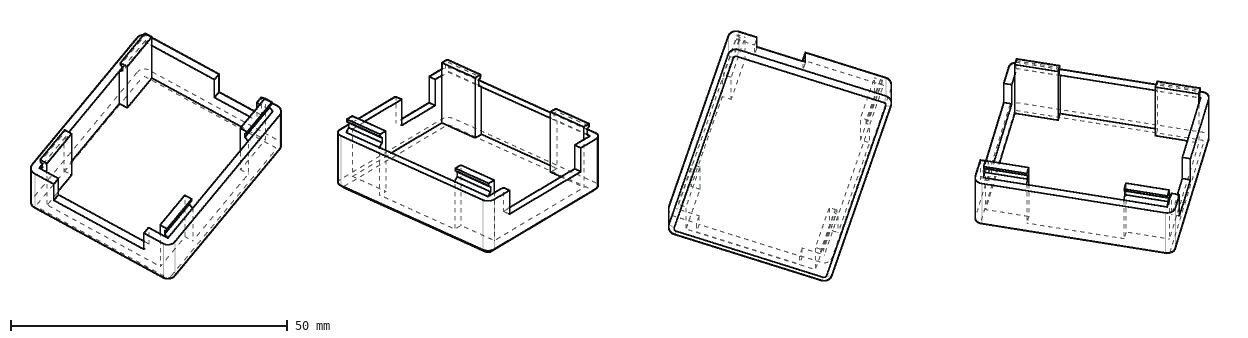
import cadquery as cq

LENGTH_X = 31.0
LENGTH_Y = 37.0
TOTAL_HEIGHT = 14.2
WALL = 1.5
FLOOR = 1.5
CORNER_RADIUS = 1.5
BOTTOM_CHAMFER = 1.0

TAB_RISE = 2.7
TAB_LENGTH = 8.0
TAB_CLEARANCE = 0.2
LIP_THICKNESS = 1.5
LIP_HEIGHT = 0.5
GROOVE_DEPTH = 0.5
GROOVE_FLAT = 1.0

FRONT_NOTCH_WIDTH = 19.6
FRONT_NOTCH_DEPTH = 5.0
REAR_NOTCH_WIDTH = 9.2
REAR_NOTCH_DEPTH = 5.5
REAR_NOTCH_CENTER_X = 5.9

rim_z = TOTAL_HEIGHT - TAB_RISE
cavity_x = LENGTH_X - 2 * WALL
cavity_y = LENGTH_Y - 2 * WALL


def make_tray():
    """Rounded box with a chamfered underside and a square-cornered cavity."""
    body = cq.Workplane("XY").box(LENGTH_X, LENGTH_Y, rim_z, centered=(True, True, False))
    body = body.edges("|Z").fillet(CORNER_RADIUS)
    body = body.faces("<Z").edges().chamfer(BOTTOM_CHAMFER)
    cavity = (
        cq.Workplane("XY")
        .workplane(offset=FLOOR)
        .box(cavity_x, cavity_y, rim_z, centered=(True, True, False))
    )
    return body.cut(cavity)


def make_notch(center_x, width, depth, wall_side):
    """Cutter for a notch open at the rim; wall_side is -1 (front) or +1 (rear)."""
    wall_center_y = wall_side * (LENGTH_Y - WALL) / 2
    return (
        cq.Workplane("XY")
        .box(width, WALL, depth, centered=(True, True, False))
        .translate((center_x, wall_center_y, rim_z - depth))
    )


def make_left_tab():
    """Grooved tab at the front end of the -X wall, rising from the floor."""
    wall_face_x = -cavity_x / 2
    lip_x = wall_face_x + TAB_CLEARANCE
    groove_x = lip_x + GROOVE_DEPTH
    inner_x = lip_x + LIP_THICKNESS

    lip_bottom_z = TOTAL_HEIGHT - LIP_HEIGHT
    groove_top_z = lip_bottom_z - GROOVE_DEPTH
    groove_bottom_z = groove_top_z - GROOVE_FLAT

    profile = [
        (inner_x, FLOOR),
        (inner_x, TOTAL_HEIGHT),
        (lip_x, TOTAL_HEIGHT),
        (lip_x, lip_bottom_z),
        (groove_x, groove_top_z),
        (groove_x, groove_bottom_z),
        (wall_face_x, rim_z),
        (wall_face_x, FLOOR),
    ]
    return (
        cq.Workplane("XZ", origin=(0, -cavity_y / 2, 0))
        .polyline(profile)
        .close()
        .extrude(-TAB_LENGTH)
    )


tray = make_tray()
tray = tray.cut(make_notch(0, FRONT_NOTCH_WIDTH, FRONT_NOTCH_DEPTH, -1))
tray = tray.cut(make_notch(REAR_NOTCH_CENTER_X, REAR_NOTCH_WIDTH, REAR_NOTCH_DEPTH, 1))

front_left_tab = make_left_tab()
front_right_tab = front_left_tab.mirror("YZ")
for front_tab in (front_left_tab, front_right_tab):
    tray = tray.union(front_tab)
    tray = tray.union(front_tab.mirror("XZ"))

result = tray